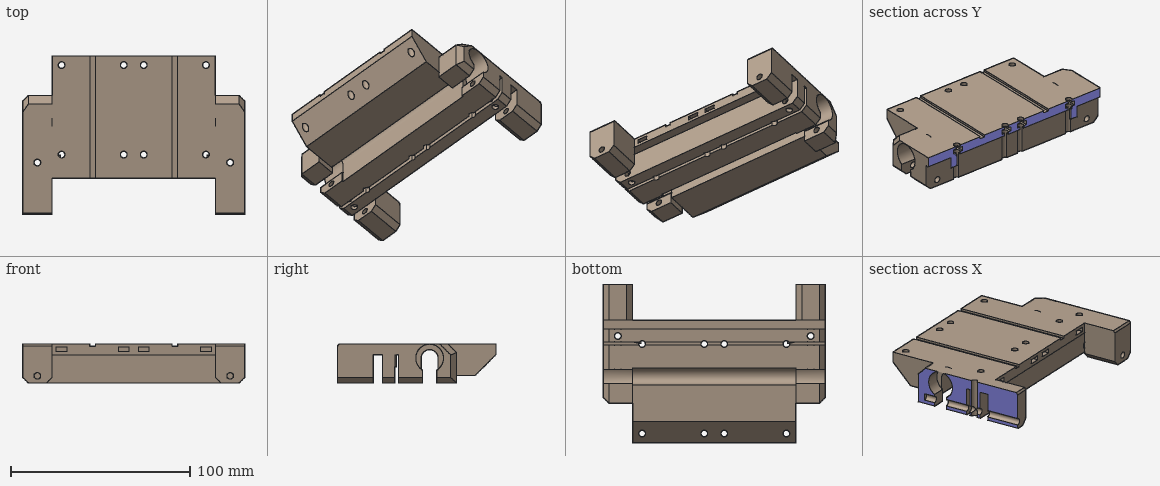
import cadquery as cq

width = 124.0
length = 88.5
height = 22.0

leg_width = 16.4
leg_length = 66.5
leg_chamfer = 3.2
rear_slope = 4.8
front_slope_length = 0.9
front_slope_height = 1.2

deck_width = width - 2 * leg_width
deck_front = 20.1
deck_underside = 15.9
rear_underside = 4.2
rear_ramp = 11.8

notch_back = 25.0
belt_slot_front = 32.1
belt_slot_width = 1.9

rod_y = 51.5
rod_z = 14.0
rod_channel_width = 9.3
bearing_diameter = 15.5
bearing_mouth_width = 7.8

groove_x = 23.0
groove_width = 3.0
groove_depth = 1.2

screw_diameter = 3.6
screw_columns = (-40.3, -5.6, 5.6, 40.3)
front_screw_y = 33.4
rear_screw_y = 83.3
leg_screw_y = 28.9
nut_width = 6.1
nut_height = 2.4
nut_pocket_bottom = 17.7

leg_centre = (width - leg_width) / 2
clamp_screw_z = 4.1
clamp_screw_depth = 62.0

stop_length = 4.8
stop_lead = 3.7
stop_root = 0.6
stop_bulge = 0.93
stop_bottom = 9.2


def box(x_range, y_range, z_range):
    """Box between two limits on each axis."""
    limits = (x_range, y_range, z_range)
    sizes = [high - low for low, high in limits]
    corner = tuple(low for low, high in limits)
    return cq.Workplane("XY").box(*sizes, centered=False).translate(corner)


def extrude_along_x(points, start, end):
    """Prism between two X positions from a (Y, Z) outline."""
    return cq.Workplane("YZ").workplane(offset=start).polyline(points).close().extrude(end - start)


def across(y_range, z_range):
    """Box across the full width."""
    return box((-width / 2, width / 2), y_range, z_range)


def both_sides(left):
    """Solid on the left together with its mirror image."""
    return left.union(left.mirror("YZ"))


def make_leg():
    """Left leg, bevelled along its outer bottom and rear edges and inside ahead of the deck."""
    outline = [
        (0, 0),
        (leg_length, 0),
        (leg_length, height - rear_slope),
        (leg_length - rear_slope, height),
        (front_slope_length, height),
        (0, height - front_slope_height),
    ]
    outer = -width / 2
    leg = extrude_along_x(outline, outer, outer + leg_width)
    reach = leg_chamfer / 2
    bottom_edge = cq.selectors.BoxSelector(
        (outer - reach, reach, -reach), (outer + reach, leg_length - reach, reach)
    )
    rear_edges = cq.selectors.BoxSelector(
        (outer - reach, leg_length - rear_slope + reach, reach),
        (outer + reach, leg_length + reach, height - reach),
    )
    leg = leg.edges(bottom_edge + rear_edges).chamfer(leg_chamfer)
    inner = outer + leg_width
    inner_corner = [(inner, 0), (inner, leg_chamfer), (inner - leg_chamfer, 0)]
    inner_bevel = cq.Workplane("XZ").polyline(inner_corner).close().extrude(-deck_front)
    return leg.cut(inner_bevel)


def make_deck():
    """Centre body, full depth ahead of the rod channel and raised with a ramp behind it."""
    outline = [
        (deck_front, 0),
        (rod_y, 0),
        (rod_y, rear_underside),
        (length - rear_ramp, rear_underside),
        (length, rear_underside + rear_ramp),
        (length, height),
        (deck_front, height),
    ]
    return extrude_along_x(outline, -deck_width / 2, deck_width / 2)


def make_cross_slots():
    """Front notch and belt slot, both open at the bottom."""
    notch = across((deck_front, notch_back), (0, deck_underside))
    belt_slot = across((belt_slot_front, belt_slot_front + belt_slot_width), (0, deck_underside))
    return notch.union(belt_slot)


def round_channel(x_range, diameter, mouth_width):
    """Bore along X at the rod axis with a straight mouth down to the underside."""
    start, end = x_range
    bore = cq.Workplane("YZ", origin=(start, rod_y, rod_z)).circle(diameter / 2).extrude(end - start)
    mouth = box(x_range, (rod_y - mouth_width / 2, rod_y + mouth_width / 2), (0, rod_z))
    return bore.union(mouth)


def make_rod_cut():
    """Rod channel under the deck, stepping out to a bearing seat in each leg."""
    channel = round_channel((-deck_width / 2, deck_width / 2), rod_channel_width, rod_channel_width)
    seat = round_channel((-width / 2, -deck_width / 2), bearing_diameter, bearing_mouth_width)
    return channel.union(both_sides(seat))


def make_grooves():
    left_groove = box(
        (-groove_x - groove_width / 2, -groove_x + groove_width / 2),
        (deck_front, length),
        (height - groove_depth, height),
    )
    return both_sides(left_groove)


def make_screw_holes():
    """Vertical holes through the deck and legs."""
    points = [(x, y) for x in screw_columns for y in (front_screw_y, rear_screw_y)]
    points += [(side * leg_centre, leg_screw_y) for side in (-1, 1)]
    return cq.Workplane("XY").pushPoints(points).circle(screw_diameter / 2).extrude(height)


def make_nut_pockets():
    """Pockets from the deck's front face to just past the front row of screws."""
    pockets = cq.Workplane("XY")
    for x in screw_columns:
        pocket = box(
            (x - nut_width / 2, x + nut_width / 2),
            (deck_front, front_screw_y + nut_width / 2),
            (nut_pocket_bottom, nut_pocket_bottom + nut_height),
        )
        pockets = pockets.add(pocket)
    return pockets.combine()


def make_clamp_holes():
    """Blind holes from the leg fronts into the jaw behind the bearing."""
    points = [(side * leg_centre, clamp_screw_z) for side in (-1, 1)]
    return cq.Workplane("XZ").pushPoints(points).circle(screw_diameter / 2).extrude(-clamp_screw_depth)


def make_belt_stops():
    """Ramped stops on the front wall of the belt slot."""
    start = -deck_width / 2
    end = start + stop_length
    root = belt_slot_front - stop_root
    crest = belt_slot_front + stop_bulge
    outline = [
        (start, root),
        (end, root),
        (end, crest),
        (start + stop_lead, crest),
        (start, belt_slot_front),
    ]
    stop = (
        cq.Workplane("XY", origin=(0, 0, stop_bottom))
        .polyline(outline)
        .close()
        .extrude(deck_underside - stop_bottom)
    )
    return both_sides(stop)


body = make_deck().union(both_sides(make_leg()))
body = body.cut(make_cross_slots())
body = body.cut(make_rod_cut())
body = body.cut(make_grooves())
body = body.cut(make_screw_holes())
body = body.cut(make_nut_pockets())
body = body.cut(make_clamp_holes())
result = body.union(make_belt_stops())